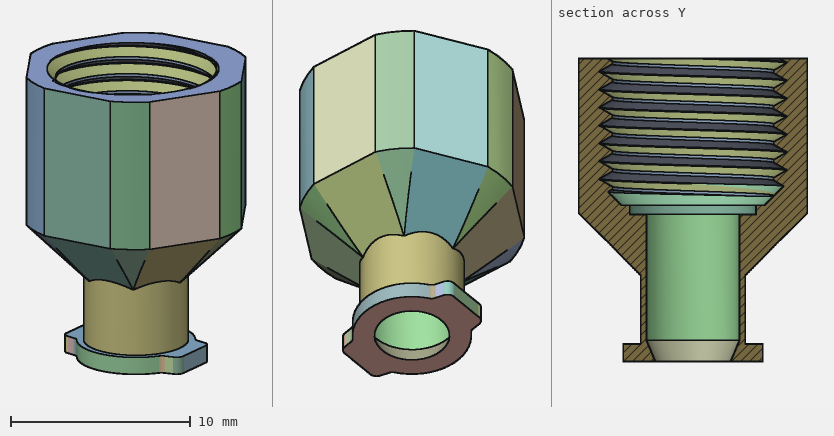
import cadquery as cq
import math

total_height = 16.9
pitch = 1.0

flat_count = 6
across_flats = 12.0
across_corners = 12.78
flat_length = math.sqrt(across_corners**2 - across_flats**2)
hex_bottom_z = 8.28
corner_end_gap = 0.02

neck_diameter = 5.85
flange_diameter = 6.62
flange_thickness = 1.0
lug_reach = 3.89
lug_tip_half_width = 1.06
lug_tip_radius = 0.45
lug_side_outer = (3.5, 1.59)
lug_side_inner = (3.05, 1.69)
lug_root_x = 2.74
lug_root_radius = 0.39

thread_minor_radius = 4.5
thread_root_radius = 5.2
thread_crest_flat = 0.17
thread_root_flat = 0.05
thread_embed = 0.07
thread_base_step = 0.03
thread_rim_angle = 88.0
turns_below_rim = 8
thread_turns = turns_below_rim + 1
socket_floor_radius = 3.99
socket_floor_z = 8.72
recess_radius = 3.52
recess_depth = 0.5
passage_top_radius = 2.59
passage_bottom_radius = 2.087
passage_cone_top_z = 1.18


def polar(radius, degrees):
    angle = math.radians(degrees)
    return (radius * math.cos(angle), radius * math.sin(angle))


def hex_outline(z):
    """Hexagon with its six corners rounded to the circle across them."""
    half_step = 180 / flat_count
    corner_radius = across_corners / 2
    half_flat_angle = math.degrees(math.atan2(flat_length, across_flats))
    outline = cq.Workplane("XY", origin=(0, 0, z))
    outline = outline.moveTo(*polar(corner_radius, half_flat_angle - half_step))
    for flat in range(flat_count):
        corner_angle = flat * 360 / flat_count
        next_flat_angle = corner_angle + half_step
        outline = outline.threePointArc(
            polar(corner_radius, corner_angle),
            polar(corner_radius, next_flat_angle - half_flat_angle),
        )
        if flat < flat_count - 1:
            outline = outline.lineTo(*polar(corner_radius, next_flat_angle + half_flat_angle))
    return outline.close()


def hex_body():
    """Straight hexagon above a 45 degree taper that runs into the neck."""
    straight = hex_outline(hex_bottom_z).extrude(total_height - hex_bottom_z)
    taper_height = (across_corners - neck_diameter) / 2 - corner_end_gap
    taper = hex_outline(hex_bottom_z).extrude(-taper_height, taper=45)
    return straight.union(taper)


def flange():
    """Round flange with two opposite lugs along X."""
    disc = cq.Workplane("XY").circle(flange_diameter / 2).extrude(flange_thickness)
    lug_root_y = math.sqrt((flange_diameter / 2) ** 2 - lug_root_x**2)
    lug = (
        cq.Workplane("XY")
        .moveTo(0, 0)
        .lineTo(lug_root_x, -lug_root_y)
        .radiusArc((lug_side_inner[0], -lug_side_inner[1]), lug_root_radius)
        .lineTo(lug_side_outer[0], -lug_side_outer[1])
        .radiusArc((lug_reach, -lug_tip_half_width), -lug_tip_radius)
        .lineTo(lug_reach, lug_tip_half_width)
        .radiusArc(lug_side_outer, -lug_tip_radius)
        .lineTo(*lug_side_inner)
        .radiusArc((lug_root_x, lug_root_y), lug_root_radius)
        .close()
        .extrude(flange_thickness)
    )
    return disc.union(lug).union(lug.mirror("YZ"))


def bore():
    """Revolved cutter: socket, conical shoulder, recess and tapered passage."""
    recess_floor_z = socket_floor_z - recess_depth
    shoulder_top_z = socket_floor_z + thread_root_radius - socket_floor_radius
    profile = [
        (0, 0),
        (passage_bottom_radius, 0),
        (passage_top_radius, passage_cone_top_z),
        (passage_top_radius, recess_floor_z),
        (recess_radius, recess_floor_z),
        (recess_radius, socket_floor_z),
        (socket_floor_radius, socket_floor_z),
        (thread_root_radius, shoulder_top_z),
        (thread_root_radius, total_height),
        (0, total_height),
    ]
    return cq.Workplane("XZ").polyline(profile).close().revolve(360, (0, 0), (0, 1))


def thread_ridge():
    """Helical ridge of the internal thread, cut off flush with the open end."""
    half_crest = thread_crest_flat / 2
    half_base = (pitch - thread_root_flat) / 2
    flank_end_radius = thread_root_radius - thread_base_step
    base_radius = thread_root_radius + thread_embed
    profile = [
        (thread_minor_radius, -half_crest),
        (thread_minor_radius, half_crest),
        (flank_end_radius, half_base),
        (base_radius, half_base),
        (base_radius, -half_base),
        (flank_end_radius, -half_base),
    ]
    helix = cq.Wire.makeHelix(pitch, thread_turns * pitch, thread_minor_radius)
    ridge = cq.Workplane("XZ").polyline(profile).close().sweep(cq.Workplane(helix), isFrenet=True)
    ridge = ridge.rotate((0, 0, 0), (0, 0, 1), thread_rim_angle)
    ridge = ridge.translate((0, 0, total_height - turns_below_rim * pitch))
    below_rim = cq.Workplane("XY").circle(across_flats / 2).extrude(total_height)
    return ridge.intersect(below_rim)


neck = cq.Workplane("XY").circle(neck_diameter / 2).extrude(hex_bottom_z)
result = hex_body().union(neck).union(flange()).cut(bore()).union(thread_ridge())